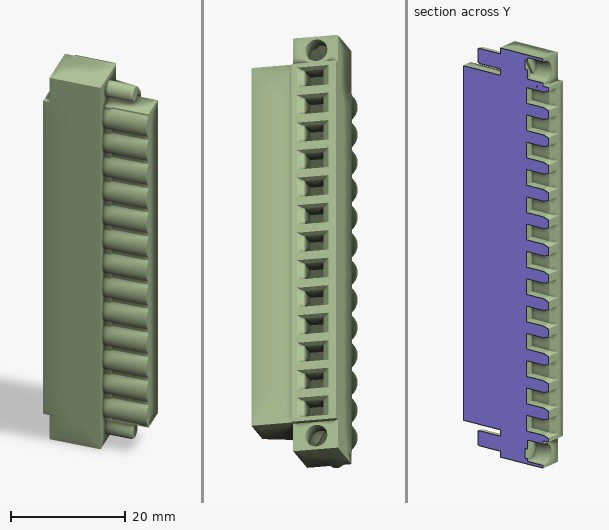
import cadquery as cq
import math

pole_count = 13
total_length = 76.2
pitch = total_length / (pole_count + 2)
row_length = pole_count * pitch
pole_centers = [(i - (pole_count - 1) / 2) * pitch for i in range(pole_count)]
pole_borders = [(i - pole_count / 2) * pitch for i in range(pole_count + 1)]

total_depth = 18.8
total_height = 15.5
housing_depth = 10.7
base_height = 8.1
upper_inset = 0.4
upper_top_depth = 8.0
flange_inset = 1.15

entry_y = 4.3
mouth_width = 5.7
mouth_height = 3.6
mouth_depth = 1.1
pocket_width = 3.4
pocket_height = 2.8
pocket_depth = 3.8

screw_y = 3.9
screw_z = (row_length + pitch) / 2
screw_hole_diameter = 4.0
screw_hole_depth = 3.4
slot_width = 0.85
slot_depth = 0.6
slot_angle = 60.0
pin_diameter = 3.0
pin_tip_diameter = 2.6
pin_length = 5.0
pin_tip_length = 0.45

bar_bottom = 2.1
bar_top = 6.9
rib_bottom = 1.1
rib_gap = 0.7
pad_diameter = 1.6
pad_offset = 0.5
pad_rise = 0.2

latch_end_gap = 0.3
latch_root_x = 9.15
latch_root_top = 11.05
latch_bottom = 8.45
latch_knee_x = 14.1
latch_knee_top = 10.1
latch_tip_x = 14.55
latch_tip_y = 8.45
latch_tip_radius = 0.6
latch_heel_x = 13.3


def box(x_range, y_range, z_range):
    """Box between two limits on each axis."""
    (x0, x1), (y0, y1), (z0, z1) = x_range, y_range, z_range
    return cq.Workplane("XY").box(x1 - x0, y1 - y0, z1 - z0, centered=False).translate((x0, y0, z0))


def facing_x(x, y, z):
    """Sketch plane facing +X whose local axes are Y and Z."""
    return cq.Workplane("YZ", origin=(x, y, z))


def make_housing():
    half_row = row_length / 2
    half_total = total_length / 2
    base = box((0, housing_depth), (0, base_height), (-half_row, half_row))
    flanges = box((flange_inset, housing_depth), (0, base_height), (-half_total, half_total))
    upper = (
        cq.Workplane("XY", origin=(0, 0, -half_row))
        .moveTo(upper_inset, 0)
        .lineTo(upper_inset, total_height)
        .lineTo(upper_top_depth, total_height)
        .lineTo(housing_depth, base_height)
        .lineTo(housing_depth, 0)
        .close()
        .extrude(row_length)
    )
    return base.union(flanges).union(upper)


def make_latch():
    lean = math.atan2(latch_knee_top - latch_tip_y, latch_tip_x - latch_knee_x + latch_tip_radius)
    step_x = latch_tip_radius * math.cos(lean)
    step_y = latch_tip_radius * math.sin(lean)
    tip_upper = (latch_tip_x + step_y, latch_tip_y + step_x)
    tip_end = (latch_tip_x + step_x, latch_tip_y - step_y)
    tip_lower = (latch_tip_x - step_y, latch_tip_y - step_x)
    latch_length = row_length - 2 * latch_end_gap
    return (
        cq.Workplane("XY", origin=(0, 0, -latch_length / 2))
        .moveTo(latch_root_x, latch_bottom)
        .lineTo(latch_root_x, latch_root_top)
        .lineTo(latch_knee_x, latch_knee_top)
        .lineTo(*tip_upper)
        .threePointArc(tip_end, tip_lower)
        .lineTo(latch_heel_x, latch_bottom)
        .close()
        .extrude(latch_length)
    )


def make_plug_bar():
    half_row = row_length / 2
    half_rib = (pitch - rib_gap) / 2
    bar = box((housing_depth, total_depth), (bar_bottom, bar_top), (-half_row, half_row))
    for z in pole_centers:
        rib = (
            facing_x(housing_depth, 0, z)
            .moveTo(bar_bottom, -half_rib)
            .threePointArc((rib_bottom, 0), (bar_bottom, half_rib))
            .close()
            .extrude(total_depth - housing_depth)
        )
        bar = bar.union(rib)
    pads = (
        cq.Workplane("XZ", origin=(0, bar_top, 0))
        .pushPoints([(housing_depth + pad_offset, z) for z in pole_borders])
        .circle(pad_diameter / 2)
        .extrude(bar_top - bar_bottom + pad_rise)
    )
    pad_limits = box((housing_depth, total_depth), (0, bar_top), (-half_row, half_row))
    return bar.union(pads.intersect(pad_limits))


def make_wire_entry(z):
    mouth = (
        facing_x(0, entry_y, z)
        .rect(mouth_width, mouth_height)
        .workplane(offset=mouth_depth)
        .rect(pocket_width, pocket_height)
        .loft(ruled=True)
    )
    pocket = facing_x(mouth_depth, entry_y, z).rect(pocket_width, pocket_height).extrude(pocket_depth)
    return mouth.union(pocket)


def make_screw_recess(side):
    """Round recess with a driver slot in its floor; side is +1 or -1 along Z."""
    mouth = facing_x(flange_inset, screw_y, side * screw_z)
    hole = mouth.circle(screw_hole_diameter / 2).extrude(screw_hole_depth)
    slot_limits = mouth.circle(screw_hole_diameter / 2).extrude(screw_hole_depth + slot_depth)
    slot = (
        mouth.transformed(rotate=(0, 0, side * slot_angle))
        .rect(screw_hole_diameter, slot_width)
        .extrude(screw_hole_depth + slot_depth)
    )
    return hole.union(slot.intersect(slot_limits))


def make_screw_pin(side):
    return (
        facing_x(housing_depth, screw_y, side * screw_z)
        .circle(pin_diameter / 2)
        .extrude(pin_length)
        .faces(">X")
        .chamfer(pin_tip_length, (pin_diameter - pin_tip_diameter) / 2)
    )


result = make_housing().union(make_latch()).union(make_plug_bar())
for z in pole_centers:
    result = result.cut(make_wire_entry(z))
for side in (1, -1):
    result = result.cut(make_screw_recess(side)).union(make_screw_pin(side))